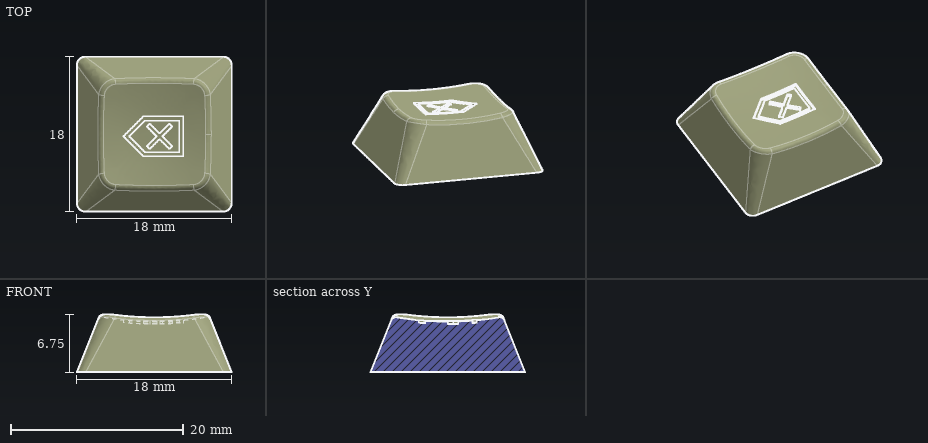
import cadquery as cq

base_side = 18.0
base_corner_radius = 0.99
blank_height = 7.2
top_side = 12.24
top_corner_radius = 1.98
dish_radius = 35.1
dish_floor = 5.89
rim_fillet = 0.6

engrave_depth = 0.29
symbol_left = -3.58
symbol_shoulder = -1.28
symbol_right = 3.35
symbol_half_height = 2.3
symbol_center_y = -0.25
line_width = 0.47
cross_center_x = 0.61
cross_length = 3.69


def rounded_square(side, radius, height):
    return cq.Sketch().rect(side, side).vertices().fillet(radius).moved(cq.Location(cq.Vector(0, 0, height)))


def dish_sphere(lowest_height):
    return cq.Workplane("XY").sphere(dish_radius).translate((0, 0, lowest_height + dish_radius))


def tapered_body():
    """Solid tapered keycap with a spherical dish and a rounded rim."""
    blank = cq.Workplane("XY").placeSketch(
        rounded_square(base_side, base_corner_radius, 0),
        rounded_square(top_side, top_corner_radius, blank_height),
    ).loft()
    dished = blank.cut(dish_sphere(dish_floor))
    return dished.faces("%SPHERE").edges().fillet(rim_fillet)


def arrow_outline():
    return cq.Workplane("XY").polyline([
        (symbol_left, 0),
        (symbol_shoulder, symbol_half_height),
        (symbol_right, symbol_half_height),
        (symbol_right, -symbol_half_height),
        (symbol_shoulder, -symbol_half_height),
    ]).close()


def symbol_prism():
    """Arrow-shaped frame with a diagonal cross inside, as a tall prism."""
    outer = arrow_outline().extrude(blank_height)
    inner = arrow_outline().offset2D(-line_width, "intersection").extrude(blank_height)
    symbol = outer.cut(inner)
    for angle in (45, -45):
        bar = cq.Workplane("XY").rect(cross_length, line_width).extrude(blank_height)
        bar = bar.rotate((0, 0, 0), (0, 0, 1), angle).translate((cross_center_x, 0, 0))
        symbol = symbol.union(bar)
    return symbol.translate((0, symbol_center_y, 0))


engraving = symbol_prism().intersect(dish_sphere(dish_floor - engrave_depth))
result = tapered_body().cut(engraving)